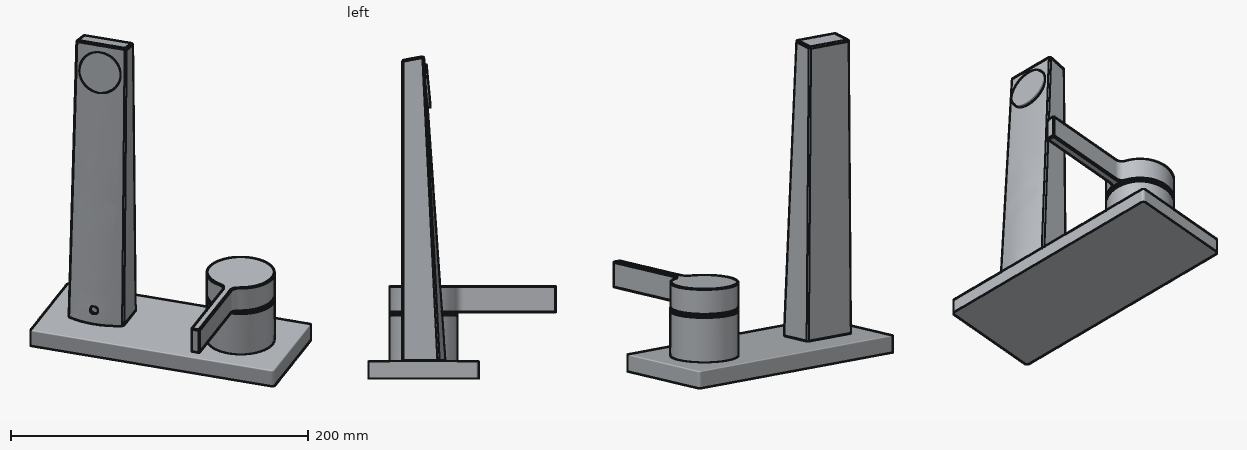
import cadquery as cq
import math

plate_length = 175.0
plate_depth = 74.4
plate_height = 11.7
plate_corner = 2.0
plate_edge = 0.9

spout_peak = 217.0
spout_x = -49.9
spout_back = 14.5
spout_foot_width = 40.0
spout_top_width = 36.0
foot_side_front = -10.5
foot_bow = 4.3
top_front = -0.2
top_bow = 0.2
top_drop = 2.8
spout_edge = 1.0
foot_edge = 0.7

disc_z = 196.9
disc_radius = 14.5
disc_face_y = -3.5
disc_tilt = 5.5
disc_depth = 5.5
disc_edge = 0.5

recess_z = 22.3
recess_radius = 2.8
recess_depth = 2.2

mixer_x = 50.0
mixer_radius = 23.0
head_bottom = 43.4
lever_bottom = 44.5
head_top = 62.2
gap_height = 1.0
gap_depth = 0.7
lever_width = 6.0
lever_tip = plate_depth / 2 - 126.5
lever_blend = 5.5
lever_edge = 0.7


def make_plate():
    plate = cq.Workplane("XY").box(plate_length, plate_depth, plate_height, centered=(True, True, False))
    plate = plate.edges("|Z").fillet(plate_corner)
    return plate.faces(">Z").edges().fillet(plate_edge)


def spout_section(z, width, side_front, bow):
    """Closed section: straight back and sides with an arc across the front."""
    half = width / 2
    return (
        cq.Workplane("XY", origin=(spout_x, 0, z))
        .moveTo(-half, spout_back)
        .lineTo(-half, side_front)
        .threePointArc((0, side_front - bow), (half, side_front))
        .lineTo(half, spout_back)
        .close()
        .wire()
        .val()
    )


def make_spout():
    foot = spout_section(plate_height, spout_foot_width, foot_side_front, foot_bow)
    top = spout_section(spout_peak, spout_top_width, top_front, top_bow)
    spout = cq.Workplane(cq.Solid.makeLoft([foot, top], True))
    wedge = (
        cq.Workplane("YZ")
        .polyline([
            (top_front - top_bow, spout_peak),
            (spout_back, spout_peak - top_drop),
            (spout_back, spout_peak),
        ])
        .close()
        .extrude(plate_length, both=True)
    )
    spout = spout.cut(wedge)
    spout = spout.edges("not(<Z)").chamfer(spout_edge)
    return spout.faces("<Z").edges().chamfer(foot_edge)


def make_outlet_disc():
    tilt = math.radians(disc_tilt)
    face = cq.Plane(
        origin=(spout_x, disc_face_y, disc_z),
        xDir=(1, 0, 0),
        normal=(0, -math.cos(tilt), math.sin(tilt)),
    )
    disc = cq.Workplane(face).circle(disc_radius).extrude(-disc_depth)
    return disc.faces("<Y").edges().fillet(disc_edge)


def make_foot_recess():
    foot_front = foot_side_front - foot_bow
    return (
        cq.Workplane("XZ", origin=(spout_x, foot_front + recess_depth, recess_z))
        .circle(recess_radius)
        .extrude(2 * recess_depth)
    )


def make_mixer():
    body_height = head_bottom - plate_height
    body = (
        cq.Workplane("XY", origin=(mixer_x, 0, plate_height))
        .circle(mixer_radius)
        .extrude(body_height - gap_height)
        .faces(">Z")
        .workplane()
        .circle(mixer_radius - gap_depth)
        .extrude(gap_height)
    )
    skirt = (
        cq.Workplane("XY", origin=(mixer_x, 0, head_bottom))
        .circle(mixer_radius)
        .extrude(lever_bottom - head_bottom)
    )
    half = lever_width / 2
    blend_y = -math.sqrt((mixer_radius + lever_blend) ** 2 - (half + lever_blend) ** 2)
    reach = mixer_radius / (mixer_radius + lever_blend)
    touch_x = (half + lever_blend) * reach
    touch_y = blend_y * reach
    head = (
        cq.Workplane("XY", origin=(mixer_x, 0, lever_bottom))
        .moveTo(half, lever_tip)
        .lineTo(half, blend_y)
        .radiusArc((touch_x, touch_y), lever_blend)
        .threePointArc((0, mixer_radius), (-touch_x, touch_y))
        .radiusArc((-half, blend_y), lever_blend)
        .lineTo(-half, lever_tip)
        .close()
        .extrude(head_top - lever_bottom)
    )
    head = head.faces("<Y").edges("|Z").chamfer(lever_edge)
    head = head.faces(">Z").edges().chamfer(lever_edge)
    head = head.faces("<Z").edges("%LINE").chamfer(lever_edge)
    return body.union(skirt).union(head)


spout = make_spout().union(make_outlet_disc()).cut(make_foot_recess())
result = make_plate().union(spout).union(make_mixer())